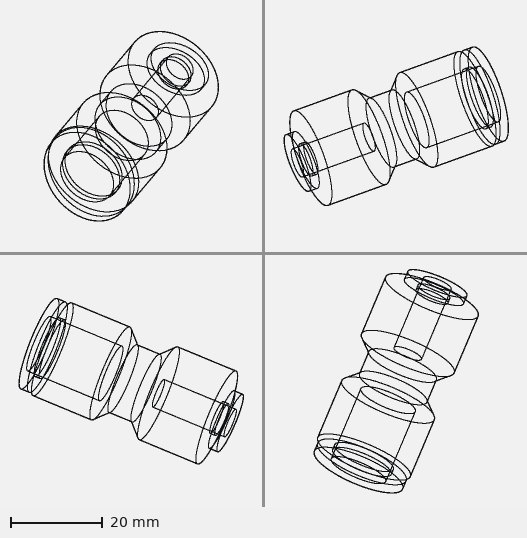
import cadquery as cq

LENGTH = 45.9
BODY_DIAMETER = 22.0
WAIST_DIAMETER = 16.0
WAIST_LENGTH = 5.5
BARREL_LENGTH = 14.0
CONE_LENGTH = (BODY_DIAMETER - WAIST_DIAMETER) / 2

FLANGE_THICKNESS = 2.0
FRONT_FLANGE_WIDTH = 20.98
FRONT_FLANGE_HEIGHT = 22.95
REAR_FLANGE_WIDTH = 14.0
REAR_FLANGE_HEIGHT = 12.03

FRONT_BORE_DIAMETER = 12.9
REAR_BORE_DIAMETER = 6.5
SLEEVE_WALL = 0.5
FRONT_NECK_DIAMETER = FRONT_BORE_DIAMETER + 2 * SLEEVE_WALL
REAR_NECK_DIAMETER = REAR_BORE_DIAMETER + 2 * SLEEVE_WALL

FRONT_END = -LENGTH / 2
REAR_END = LENGTH / 2
WAIST_END = WAIST_LENGTH / 2
CONE_END = WAIST_END + CONE_LENGTH
BODY_END = CONE_END + BARREL_LENGTH
BORE_DEPTH = REAR_END - CONE_END


def section(start_y):
    """Sketch plane across the axis whose normal points toward +Y."""
    return cq.Workplane(cq.Plane((0, start_y, 0), xDir=(1, 0, 0), normal=(0, 1, 0)))


def cylinder(diameter, start_y, end_y):
    return section(start_y).circle(diameter / 2).extrude(end_y - start_y)


def oval_flange(width, height, start_y):
    return section(start_y).ellipse(width / 2, height / 2).extrude(FLANGE_THICKNESS)


def waisted_body():
    """Two equal barrels joined by conical shoulders and a narrow waist."""
    barrel_radius = BODY_DIAMETER / 2
    waist_radius = WAIST_DIAMETER / 2
    half_profile = [
        (0, -BODY_END),
        (barrel_radius, -BODY_END),
        (barrel_radius, -CONE_END),
        (waist_radius, -WAIST_END),
        (waist_radius, WAIST_END),
        (barrel_radius, CONE_END),
        (barrel_radius, BODY_END),
        (0, BODY_END),
    ]
    return cq.Workplane("XY").polyline(half_profile).close().revolve(360, (0, 0, 0), (0, 1, 0))


front_neck = cylinder(FRONT_NECK_DIAMETER, FRONT_END, -CONE_END)
rear_neck = cylinder(REAR_NECK_DIAMETER, CONE_END, REAR_END)
front_flange = oval_flange(FRONT_FLANGE_WIDTH, FRONT_FLANGE_HEIGHT, FRONT_END)
rear_flange = oval_flange(REAR_FLANGE_WIDTH, REAR_FLANGE_HEIGHT, REAR_END - FLANGE_THICKNESS)

front_bore = cylinder(FRONT_BORE_DIAMETER, FRONT_END, FRONT_END + BORE_DEPTH)
rear_bore = cylinder(REAR_BORE_DIAMETER, REAR_END - BORE_DEPTH, REAR_END)

result = (
    waisted_body()
    .union(front_neck)
    .union(rear_neck)
    .union(front_flange)
    .union(rear_flange)
    .cut(front_bore)
    .cut(rear_bore)
)